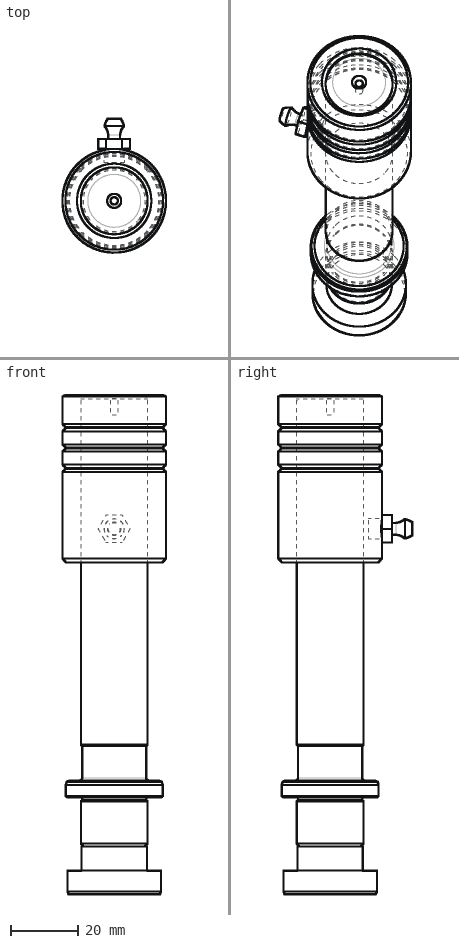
import cadquery as cq
import math

total_height = 149.0
fit_radius = 10.0
neck_radius = 9.6
edge_relief = fit_radius - neck_radius

sleeve_radius = 15.5
sleeve_length = 50.0
sleeve_bottom = total_height - sleeve_length
sleeve_top_chamfer_width = 0.9
sleeve_top_chamfer_height = 0.5
sleeve_bottom_chamfer_width = 1.1
sleeve_bottom_chamfer_height = 1.3
bore_chamfer = 1.1
groove_count = 3
groove_depth = 0.95
groove_floor_width = 0.3
groove_pitch = 6.05
first_groove_drop = 9.75

disc_radius = 14.0
disc_height = 7.1
disc_chamfer_width = 0.4
disc_chamfer_height = 0.9
foot_neck_radius = 9.8
foot_top = 14.3

post_end_chamfer_width = 0.8
post_end_chamfer_height = 0.9
collar_radius = 14.5
collar_bottom = 28.9
collar_top = 34.0
rim_slope_width = 0.9
rim_slope_height = 0.4
rim_bevel_width = 0.3
rim_bevel_height = 0.9
collar_bottom_chamfer = 0.5
collar_root_fillet = 0.8
undercut_height = 1.2
shank_bottom = 44.7
post_tip_round = 2.1
centre_hole_radius = 1.1
centre_hole_depth = 6.0
countersink_radius = 2.1
countersink_depth = countersink_radius - centre_hole_radius

nipple_height = sleeve_bottom + 10.1
hex_across_flats = 8.25
hex_thickness = 3.0
nipple_projection = 9.0
head_rim_height = 6.8
neck_top_height = 4.1
head_tip_radius = 2.0
head_rim_radius = 2.95
head_crown_radius = 2.6
head_crown_height = 7.9
nipple_neck_radius = 1.8
head_waist_radius = 2.15
head_waist_height = 5.6
stem_radius = 3.0
stem_length = 4.0


def groove_cutter(middle_z):
    """Ring with 45 degree flanks that cuts one groove round the sleeve."""
    floor_half = groove_floor_width / 2
    mouth_half = floor_half + groove_depth
    floor_radius = sleeve_radius - groove_depth
    return (
        cq.Workplane("XZ")
        .moveTo(floor_radius, middle_z - floor_half)
        .lineTo(sleeve_radius, middle_z - mouth_half)
        .lineTo(sleeve_radius, middle_z + mouth_half)
        .lineTo(floor_radius, middle_z + floor_half)
        .close()
        .revolve(360, (0, 0, 0), (0, 1, 0))
    )


def radial_workplane(distance):
    """Plane facing +Y on the nipple axis, at the given distance from the post axis."""
    return cq.Workplane(cq.Plane(origin=(0, distance, nipple_height), xDir=(1, 0, 0), normal=(0, 1, 0)))


def make_stem():
    """Stem of the nipple, also the shape of its hole in the sleeve wall."""
    return radial_workplane(sleeve_radius - stem_length).circle(stem_radius).extrude(stem_length)


def make_sleeve():
    sleeve = (
        cq.Workplane("XZ")
        .moveTo(fit_radius, sleeve_bottom)
        .lineTo(sleeve_radius - sleeve_bottom_chamfer_width, sleeve_bottom)
        .lineTo(sleeve_radius, sleeve_bottom + sleeve_bottom_chamfer_height)
        .lineTo(sleeve_radius, total_height - sleeve_top_chamfer_height)
        .lineTo(sleeve_radius - sleeve_top_chamfer_width, total_height)
        .lineTo(fit_radius + bore_chamfer, total_height)
        .lineTo(fit_radius, total_height - bore_chamfer)
        .close()
        .revolve(360, (0, 0, 0), (0, 1, 0))
    )
    for index in range(groove_count):
        sleeve = sleeve.cut(groove_cutter(total_height - first_groove_drop - index * groove_pitch))
    return sleeve.cut(make_stem())


def make_post():
    undercut_bottom = collar_bottom - undercut_height
    arc_middle = post_tip_round * (1 - math.sqrt(0.5))
    root_middle = collar_root_fillet * (1 - math.sqrt(0.5))
    rim_break_radius = collar_radius - rim_bevel_width
    rim_break_z = collar_top - rim_slope_height
    countersink_bottom = total_height - countersink_depth
    return (
        cq.Workplane("XZ")
        .moveTo(0, foot_top)
        .lineTo(fit_radius - post_end_chamfer_width, foot_top)
        .lineTo(fit_radius, foot_top + post_end_chamfer_height)
        .lineTo(fit_radius, undercut_bottom)
        .lineTo(neck_radius, undercut_bottom + edge_relief)
        .lineTo(neck_radius, collar_bottom)
        .lineTo(collar_radius - collar_bottom_chamfer, collar_bottom)
        .lineTo(collar_radius, collar_bottom + collar_bottom_chamfer)
        .lineTo(collar_radius, rim_break_z - rim_bevel_height)
        .lineTo(rim_break_radius, rim_break_z)
        .lineTo(rim_break_radius - rim_slope_width, collar_top)
        .lineTo(neck_radius + collar_root_fillet, collar_top)
        .threePointArc(
            (neck_radius + root_middle, collar_top + root_middle),
            (neck_radius, collar_top + collar_root_fillet),
        )
        .lineTo(neck_radius, shank_bottom - edge_relief)
        .lineTo(fit_radius, shank_bottom)
        .lineTo(fit_radius, total_height - post_tip_round)
        .threePointArc(
            (fit_radius - arc_middle, total_height - arc_middle),
            (fit_radius - post_tip_round, total_height),
        )
        .lineTo(countersink_radius, total_height)
        .lineTo(centre_hole_radius, countersink_bottom)
        .lineTo(centre_hole_radius, total_height - centre_hole_depth)
        .lineTo(0, total_height - centre_hole_depth)
        .close()
        .revolve(360, (0, 0, 0), (0, 1, 0))
    )


def make_foot():
    return (
        cq.Workplane("XZ")
        .lineTo(disc_radius - disc_chamfer_width, 0)
        .lineTo(disc_radius, disc_chamfer_height)
        .lineTo(disc_radius, disc_height)
        .lineTo(foot_neck_radius, disc_height)
        .lineTo(foot_neck_radius, foot_top)
        .lineTo(0, foot_top)
        .close()
        .revolve(360, (0, 0, 0), (0, 1, 0))
    )


def make_nipple():
    hex_corner_diameter = hex_across_flats / math.cos(math.radians(30))
    hexagon = radial_workplane(sleeve_radius).polygon(6, hex_corner_diameter).extrude(hex_thickness)
    head = (
        cq.Workplane("XY")
        .moveTo(0, hex_thickness)
        .lineTo(nipple_neck_radius, hex_thickness)
        .lineTo(nipple_neck_radius, neck_top_height)
        .threePointArc((head_waist_radius, head_waist_height), (head_rim_radius, head_rim_height))
        .threePointArc((head_crown_radius, head_crown_height), (head_tip_radius, nipple_projection))
        .lineTo(0, nipple_projection)
        .close()
        .revolve(360, (0, 0, 0), (0, 1, 0))
        .translate((0, sleeve_radius, nipple_height))
    )
    return hexagon.union(head).union(make_stem())


sleeve = make_sleeve()
post = make_post()
foot = make_foot()
nipple = make_nipple()

result = cq.Compound.makeCompound([sleeve.val(), post.val(), foot.val(), nipple.val()])